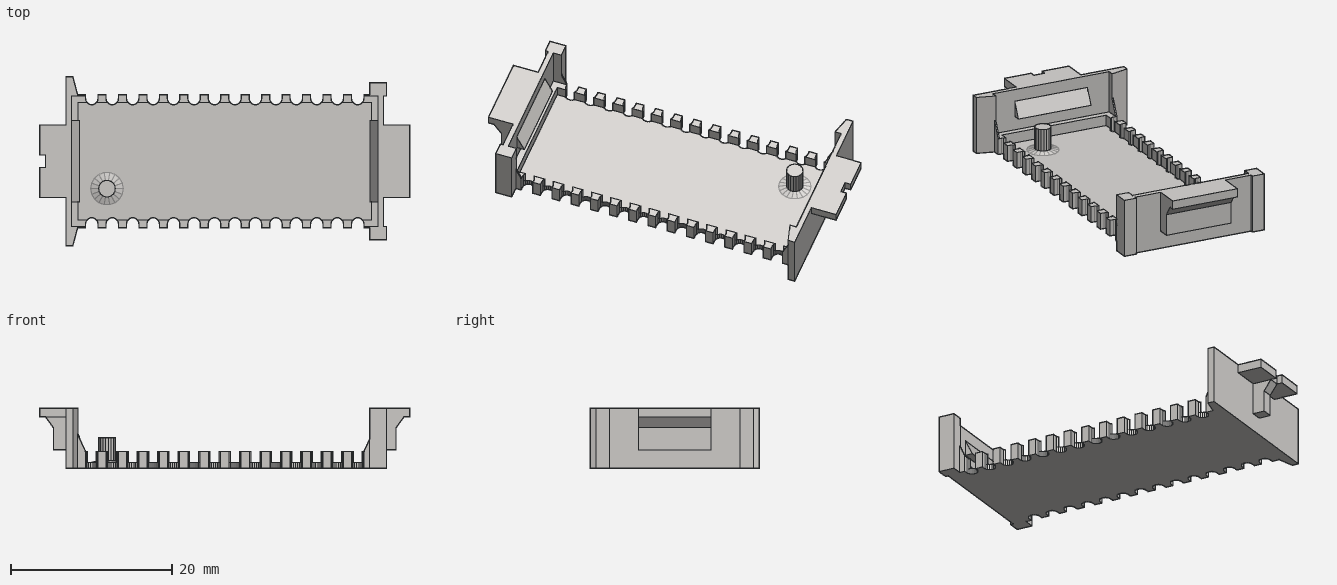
import cadquery as cq
import math

LENGTH = 46.0
HEIGHT = 7.5
LEFT_POST_OUTER_Y = 21.0 / 2
RIGHT_POST_OUTER_Y = 9.75

WALL_OUTER_X = 19.75
WALL_INNER_X = 19.05
POST_INNER_Y = 8.1
LEFT_POST_TIP_X = 18.85
LEFT_POST_ROOT_X = 18.2
RIGHT_POST_INNER_X = 18.0
RIGHT_POST_OUTER_X = 20.1

FLOOR_THICKNESS = 0.75
FRAME_HEIGHT = 2.1
FRAME_OUTER_Y = 8.3
FRAME_INNER_X = 18.2
FRAME_INNER_Y = 7.25

FACETS = 18

SLOT_COUNT = 14
SLOT_SPAN = 33.05
SLOT_PITCH = SLOT_SPAN / (SLOT_COUNT - 1)
SLOT_WIDTH = 1.5
SLOT_BOTTOM_Y = 7.05

HANDLE_WIDTH = 9.0
HANDLE_THICKNESS = 1.1
BRACKET_OUTER_X = 21.3
BRACKET_BOTTOM_Z = 2.3
BRACKET_SLOPE_START_Z = 5.05
BRACKET_SLOPE_END_X = 22.25
NOTCH_WIDTH = 1.5
NOTCH_BOTTOM_X = BRACKET_SLOPE_END_X

SNAP_WIDTH = 10.1
SNAP_TIP_X = 18.05
SNAP_BOTTOM_Z = 3.9
SNAP_HEIGHT = 2.02

RIB_START_X = (SLOT_SPAN + SLOT_WIDTH) / 2
RIB_END_X = LEFT_POST_TIP_X
RIB_TOP_Z = 5.5

PIN_X = -14.65
PIN_Y = -3.4
PIN_DIAMETER = 2.05
PIN_TOP_Z = 3.8
FOOT_DIAMETER = 4.05
FOOT_TOP_Z = 0.95


def block(x_min, x_max, y_min, y_max, z_min, z_max):
    """Box between two opposite corners."""
    size = (x_max - x_min, y_max - y_min, z_max - z_min)
    return cq.Workplane().box(*size, centered=False).translate((x_min, y_min, z_min))


def side_profile(points, y_min, y_max):
    """Closed XZ outline extruded from y_min to y_max."""
    return cq.Workplane("XZ", origin=(0, y_max, 0)).polyline(points).close().extrude(y_max - y_min)


def mirror_x(body):
    return body.mirror("YZ")


def mirror_y(body):
    return body.mirror("XZ")


def make_tray():
    tray = block(-WALL_OUTER_X, WALL_OUTER_X, -FRAME_OUTER_Y, FRAME_OUTER_Y, 0, FRAME_HEIGHT)
    recess = block(-FRAME_INNER_X, FRAME_INNER_X, -FRAME_INNER_Y, FRAME_INNER_Y,
                   FLOOR_THICKNESS, FRAME_HEIGHT)
    return tray.cut(recess)


def make_slots():
    """Slots along both long sides, each ending in half a faceted round."""
    center_y = SLOT_BOTTOM_Y + SLOT_WIDTH / 2 * math.cos(math.pi / FACETS)
    centers = [(-SLOT_SPAN / 2 + i * SLOT_PITCH, center_y) for i in range(SLOT_COUNT)]
    slots = cq.Workplane().pushPoints(centers).polygon(FACETS, SLOT_WIDTH).extrude(FRAME_HEIGHT)
    half = SLOT_WIDTH / 2
    for x, _ in centers:
        slots = slots.union(block(x - half, x + half, center_y, FRAME_OUTER_Y, 0, FRAME_HEIGHT))
    return slots.union(mirror_y(slots))


def make_wall():
    """Plain left-hand end wall between the posts."""
    return block(-WALL_OUTER_X, -WALL_INNER_X, -FRAME_OUTER_Y, FRAME_OUTER_Y, 0, HEIGHT)


def make_left_post():
    """Left-hand post on the +Y side that tapers towards the outer side."""
    outline = [
        (-WALL_OUTER_X, POST_INNER_Y),
        (-LEFT_POST_ROOT_X, POST_INNER_Y),
        (-LEFT_POST_TIP_X, LEFT_POST_OUTER_Y),
        (-WALL_OUTER_X, LEFT_POST_OUTER_Y),
    ]
    return cq.Workplane().polyline(outline).close().extrude(HEIGHT)


def make_right_post():
    """Square-cornered right-hand post on the +Y side."""
    return block(RIGHT_POST_INNER_X, RIGHT_POST_OUTER_X, POST_INNER_Y, RIGHT_POST_OUTER_Y, 0, HEIGHT)


def make_handle_plate():
    """Left-hand handle at the top of the wall."""
    return block(-LENGTH / 2, -WALL_OUTER_X, -HANDLE_WIDTH / 2, HANDLE_WIDTH / 2,
                 HEIGHT - HANDLE_THICKNESS, HEIGHT)


def make_bracket(width):
    """Left-hand support under the handle, sloping outwards to meet the plate."""
    plate_bottom = HEIGHT - HANDLE_THICKNESS
    outline = [
        (-WALL_OUTER_X, BRACKET_BOTTOM_Z),
        (-BRACKET_OUTER_X, BRACKET_BOTTOM_Z),
        (-BRACKET_OUTER_X, BRACKET_SLOPE_START_Z),
        (-BRACKET_SLOPE_END_X, plate_bottom),
        (-WALL_OUTER_X, plate_bottom),
    ]
    return side_profile(outline, -width / 2, width / 2)


def make_notch():
    """Notch through the outer edge of the left handle."""
    return block(-LENGTH / 2, -NOTCH_BOTTOM_X, -NOTCH_WIDTH / 2, NOTCH_WIDTH / 2, 0, HEIGHT)


def make_snap():
    """Left-hand wedge that slopes out of the wall to a flat underside."""
    outline = [
        (-WALL_INNER_X, SNAP_BOTTOM_Z),
        (-SNAP_TIP_X, SNAP_BOTTOM_Z),
        (-WALL_INNER_X, SNAP_BOTTOM_Z + SNAP_HEIGHT),
    ]
    return side_profile(outline, -SNAP_WIDTH / 2, SNAP_WIDTH / 2)


def make_rib():
    """Left-hand rib rising from the end tooth; its tall end is buried in the post."""
    outline = [
        (-RIB_END_X, FRAME_HEIGHT),
        (-RIB_START_X, FRAME_HEIGHT),
        (-RIB_END_X, RIB_TOP_Z),
    ]
    return side_profile(outline, POST_INNER_Y, FRAME_OUTER_Y)


def make_pin():
    """Faceted pin standing on a faceted conical foot."""
    foot = (
        cq.Workplane(origin=(PIN_X, PIN_Y, FLOOR_THICKNESS))
        .polygon(FACETS, FOOT_DIAMETER)
        .workplane(offset=FOOT_TOP_Z - FLOOR_THICKNESS)
        .polygon(FACETS, PIN_DIAMETER)
        .loft(ruled=True)
    )
    pin = cq.Workplane(origin=(PIN_X, PIN_Y, 0)).polygon(FACETS, PIN_DIAMETER).extrude(PIN_TOP_Z)
    return foot.union(pin)


result = make_tray().cut(make_slots())

for feature in (make_wall(), make_handle_plate(), make_snap()):
    result = result.union(feature).union(mirror_x(feature))

rib = make_rib()
for feature in (make_left_post(), make_right_post(), rib, mirror_x(rib)):
    result = result.union(feature).union(mirror_y(feature))

result = result.union(make_bracket(NOTCH_WIDTH)).cut(make_notch())
result = result.union(mirror_x(make_bracket(HANDLE_WIDTH)))

result = result.union(make_pin())